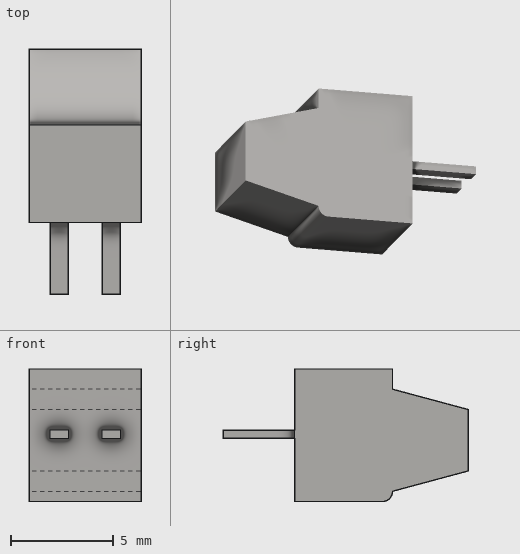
import cadquery as cq
import math

total_length = 12.0
width = 5.48
height = 6.5

block_length = 4.79
pin_length = 3.5
nose_root_drop = 1.0
nose_taper_rise = 1.0
lower_edge_radius = 0.5

pin_width = 0.9
pin_thickness = 0.4
pin_pitch = 2.55
pin_center_z = 3.3

nose_tip_y = total_length - pin_length
nose_root_top_z = height - nose_root_drop
nose_root_bottom_z = lower_edge_radius


def make_housing():
    """Side outline in the YZ plane, extruded across the full width."""
    arc_inset = lower_edge_radius * (1 - math.sqrt(0.5))
    return (
        cq.Workplane("YZ", origin=(-width / 2, 0, 0))
        .moveTo(0, 0)
        .lineTo(0, height)
        .lineTo(block_length, height)
        .lineTo(block_length, nose_root_top_z)
        .lineTo(nose_tip_y, nose_root_top_z - nose_taper_rise)
        .lineTo(nose_tip_y, nose_root_bottom_z + nose_taper_rise)
        .lineTo(block_length, nose_root_bottom_z)
        .threePointArc(
            (block_length - arc_inset, arc_inset),
            (block_length - lower_edge_radius, 0),
        )
        .close()
        .extrude(width)
    )


def make_pin(center_x):
    """Flat pin that starts on the housing face and points toward -Y."""
    return cq.Workplane("XY").box(pin_width, pin_length, pin_thickness).translate(
        (center_x, -pin_length / 2, pin_center_z)
    )


housing = make_housing()
pins = [make_pin(side * pin_pitch / 2) for side in (-1, 1)]

result = cq.Compound.makeCompound([housing.val(), *[pin.val() for pin in pins]])